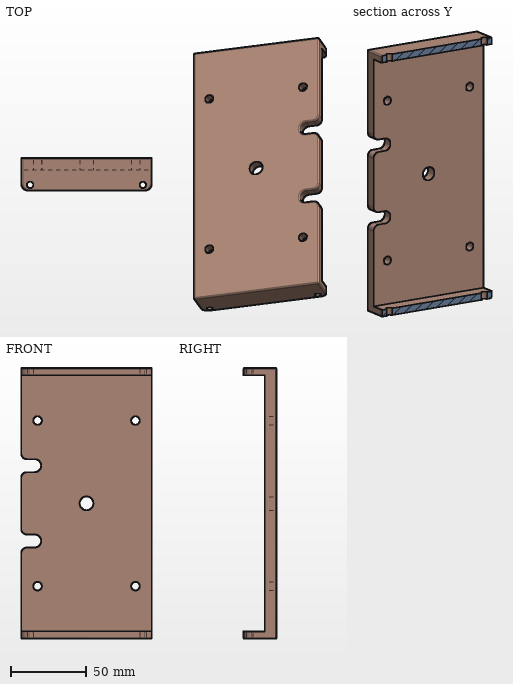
import cadquery as cq

width = 87.0
depth = 22.0
height = 180.0

plate_thickness = 8.0
flange_thickness = 5.0
flange_corner_radius = 5.0
edge_radius = 1.0

mount_hole_diameter = 5.5
mount_spacing_x = 65.0
mount_spacing_z = 110.0
center_hole_diameter = 9.0

flange_hole_diameter = 4.1
flange_hole_spacing = 74.9
flange_hole_from_front = 4.0

slot_width = 8.5
slot_depth = 13.3
slot_spacing = 50.0
slot_mouth_radius = 4.0


def make_channel():
    """Back plate with a flange along its top and bottom edges."""
    body = cq.Workplane("XY").box(width, depth, height, centered=(True, False, True))
    body = body.translate((0, -depth, 0))
    body = body.edges("|Z and <Y").fillet(flange_corner_radius)
    clearance = cq.Workplane("XY").box(
        width, depth, height - 2 * flange_thickness, centered=(True, False, True)
    )
    return body.cut(clearance.translate((0, -depth - plate_thickness, 0)))


def make_slot(center_z):
    """Round-ended slot whose mouth flares out with rounded corners."""
    edge_x = -width / 2
    half_width = slot_width / 2
    mouth_half = half_width + slot_mouth_radius
    mouth_x = edge_x + slot_mouth_radius
    end_x = edge_x + slot_depth
    arc_x = end_x - half_width
    return (
        cq.Workplane("XZ")
        .moveTo(edge_x, center_z - mouth_half)
        .radiusArc((mouth_x, center_z - half_width), slot_mouth_radius)
        .lineTo(arc_x, center_z - half_width)
        .threePointArc((end_x, center_z), (arc_x, center_z + half_width))
        .lineTo(mouth_x, center_z + half_width)
        .radiusArc((edge_x, center_z + mouth_half), slot_mouth_radius)
        .close()
        .extrude(plate_thickness)
    )


def make_plate_holes():
    """Four mounting holes and the larger central hole."""
    mounts = (
        cq.Workplane("XZ")
        .rarray(mount_spacing_x, mount_spacing_z, 2, 2)
        .circle(mount_hole_diameter / 2)
        .extrude(plate_thickness)
    )
    center = cq.Workplane("XZ").circle(center_hole_diameter / 2).extrude(plate_thickness)
    return mounts.union(center)


def make_flange_holes():
    """Vertical holes near the front corners of both flanges."""
    hole_y = flange_hole_from_front - depth
    return (
        cq.Workplane("XY", origin=(0, hole_y, -height / 2))
        .rarray(flange_hole_spacing, 1.8, 2, 1)
        .circle(flange_hole_diameter / 2)
        .extrude(height)
    )


body = make_channel()
for side in (-1, 1):
    body = body.cut(make_slot(side * slot_spacing / 2))

body = body.faces(">Y or >Z or <Z").edges().fillet(edge_radius)
result = body.cut(make_plate_holes()).cut(make_flange_holes())